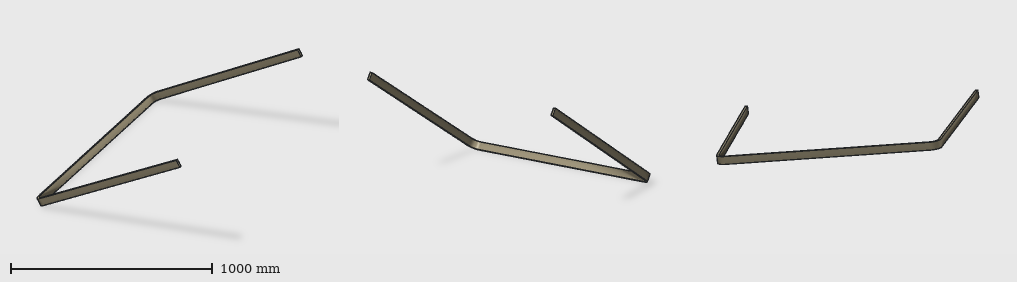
import cadquery as cq
import math

thickness = 13.0
bar_width = 40.0
overall_y = 1187.0
arm_reach = 968.0
outer_bend_radius = 50.0
splay_angle = 2.8
tilt_angle = 31.7


def rounded_u_block(inset):
    """Solid filling the U, its web and arm faces moved inward by inset, with rounded corners."""
    splay = math.radians(splay_angle)
    tip_y = overall_y - inset / math.cos(splay)
    web_end_y = tip_y - (arm_reach - inset) * math.tan(splay)
    return (
        cq.Workplane("XY")
        .polyline([(inset, inset), (arm_reach, inset), (arm_reach, tip_y), (inset, web_end_y)])
        .close()
        .extrude(bar_width)
        .edges("|Z and <X")
        .fillet(outer_bend_radius - inset)
    )


flat_u = rounded_u_block(0).cut(rounded_u_block(thickness))

result = flat_u.rotate((0, 0, 0), (0, 1, 0), -tilt_angle)